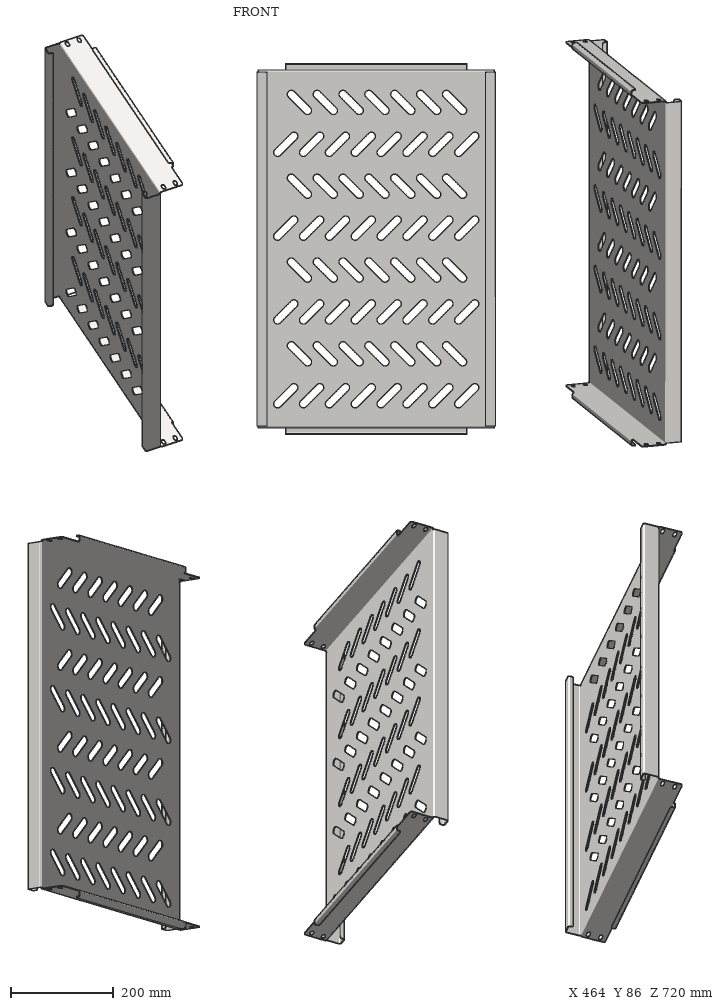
import cadquery as cq
import math

WIDTH = 464.0
HEIGHT = 720.0
DEPTH = 86.0

SHEET = 2.0
BEND_INNER = 2.0
BEND_OUTER = BEND_INNER + SHEET
FREE_CORNER = 4.0

CHANNEL_DEPTH = 33.0
CHANNEL_WIDTH = 20.0
CHANNEL_LIP = 11.0

HOOK_RISE = 12.0
HOOK_RETURN = 10.0
HOOK_LENGTH = 352.0
FLANGE_INSET = 2.5

MOUNT_LENGTH = 12.0
MOUNT_WIDTH = 6.5
MOUNT_FROM_SIDE = 13.0
MOUNT_FROM_BACK = 16.5
MOUNT_PITCH = 25.0

VENT_LENGTH = 60.0
VENT_WIDTH = 15.0
VENT_ROWS = 8
VENT_ROW_PITCH = 81.0
VENTS_IN_LONG_ROW = 8
LONG_ROW_SPAN = 351.0
VENT_PITCH = LONG_ROW_SPAN / (VENTS_IN_LONG_ROW - 1)
VENT_ANGLE = 45
SHORT_ROW_SHIFT = 1.5

HALF_WIDTH = WIDTH / 2
FLANGE_Z = HEIGHT / 2 - HOOK_RISE
PANEL_HALF_HEIGHT = FLANGE_Z - BEND_OUTER
CHANNEL_FRONT_Y = SHEET - CHANNEL_DEPTH
HOOK_BACK_Y = DEPTH + CHANNEL_FRONT_Y
FLANGE_END_Y = HOOK_BACK_Y - BEND_OUTER
FLANGE_WIDTH = WIDTH - 2 * FLANGE_INSET


def angle_sheet(plane, corner, end_a, end_b, length):
    """Two sheet legs joined by a round bend, centred along the plane normal.

    corner is where the outer faces would meet; end_a and end_b are the tips of
    the outer faces, end_a along the first plane axis and end_b along the second.
    """
    u, v = corner
    du = 1 if end_a > u else -1
    dv = 1 if end_b > v else -1
    diagonal = math.cos(math.radians(45))

    def arc_middle(radius):
        reach = BEND_OUTER - radius * diagonal
        return (u + du * reach, v + dv * reach)

    return (
        cq.Workplane(plane)
        .moveTo(end_a, v)
        .lineTo(u + du * BEND_OUTER, v)
        .threePointArc(arc_middle(BEND_OUTER), (u, v + dv * BEND_OUTER))
        .lineTo(u, end_b)
        .lineTo(u + du * SHEET, end_b)
        .lineTo(u + du * SHEET, v + dv * BEND_OUTER)
        .threePointArc(arc_middle(BEND_INNER), (u + du * BEND_OUTER, v + dv * SHEET))
        .lineTo(end_a, v + dv * SHEET)
        .close()
        .extrude(length / 2, both=True)
    )


def panel_and_channels():
    """Panel with a lipped channel on each side, built as the right half and mirrored."""
    length = 2 * PANEL_HALF_HEIGHT
    middle_y = CHANNEL_FRONT_Y / 2
    inner_x = HALF_WIDTH - CHANNEL_WIDTH
    middle_x = HALF_WIDTH - CHANNEL_WIDTH / 2
    half = angle_sheet("XY", (HALF_WIDTH, SHEET), 0, middle_y, length)
    half = half.union(angle_sheet("XY", (HALF_WIDTH, CHANNEL_FRONT_Y), middle_x, middle_y, length))
    lip_end_y = CHANNEL_FRONT_Y + CHANNEL_LIP
    lip = angle_sheet("XY", (inner_x, CHANNEL_FRONT_Y), middle_x, lip_end_y, length)
    half = half.union(lip.edges("|X and >Y").fillet(FREE_CORNER))
    return half.union(half.mirror("YZ"))


def vent_slots():
    """Cutter for rows of diagonal slots whose slant and count alternate."""
    cutter = cq.Workplane("XZ")
    for row in range(VENT_ROWS):
        long_row = row % 2 == 0
        count = VENTS_IN_LONG_ROW if long_row else VENTS_IN_LONG_ROW - 1
        angle = VENT_ANGLE if long_row else -VENT_ANGLE
        z = (row - (VENT_ROWS - 1) / 2) * VENT_ROW_PITCH
        shift = 0 if long_row else SHORT_ROW_SHIFT
        centres = [(shift + (i - (count - 1) / 2) * VENT_PITCH, z) for i in range(count)]
        slots = (
            cq.Workplane("XZ")
            .pushPoints(centres)
            .slot2D(VENT_LENGTH, VENT_WIDTH, angle)
            .extrude(2 * SHEET, both=True)
        )
        cutter = cutter.add(slots)
    return cutter.combine()


def top_flange():
    """Flange with rounded back corners, mounting slots and the hook along its middle."""
    flange = angle_sheet("YZ", (0, FLANGE_Z), FLANGE_END_Y, 0, FLANGE_WIDTH)
    panel_edge = cq.Workplane("XY", origin=(0, 0, PANEL_HALF_HEIGHT))
    flange = flange.copyWorkplane(panel_edge).split(keepTop=True)
    flange = flange.edges("|Z and >Y").fillet(FREE_CORNER)

    mount_x = HALF_WIDTH - MOUNT_FROM_SIDE
    mount_back_y = HOOK_BACK_Y - MOUNT_FROM_BACK
    mount_front_y = mount_back_y - MOUNT_PITCH
    mounts = (
        cq.Workplane("XY", origin=(0, 0, FLANGE_Z))
        .pushPoints([(x, y) for x in (-mount_x, mount_x) for y in (mount_back_y, mount_front_y)])
        .slot2D(MOUNT_LENGTH, MOUNT_WIDTH)
        .extrude(2 * SHEET, both=True)
    )
    flange = flange.cut(mounts)

    hook_bottom_z = FLANGE_Z - SHEET
    hook_middle_z = (hook_bottom_z + HEIGHT / 2) / 2
    web_start_y = FLANGE_END_Y - SHEET
    hook_tip_y = HOOK_BACK_Y - HOOK_RETURN
    lower = angle_sheet("YZ", (HOOK_BACK_Y, hook_bottom_z), web_start_y, hook_middle_z, HOOK_LENGTH)
    upper = angle_sheet("YZ", (HOOK_BACK_Y, HEIGHT / 2), hook_tip_y, hook_middle_z, HOOK_LENGTH)
    upper = upper.edges("|Z and <Y").fillet(FREE_CORNER)
    return flange.union(lower).union(upper)


flange = top_flange()
sheet = panel_and_channels().cut(vent_slots())
result = sheet.union(flange).union(flange.mirror("XY")).clean().solids()